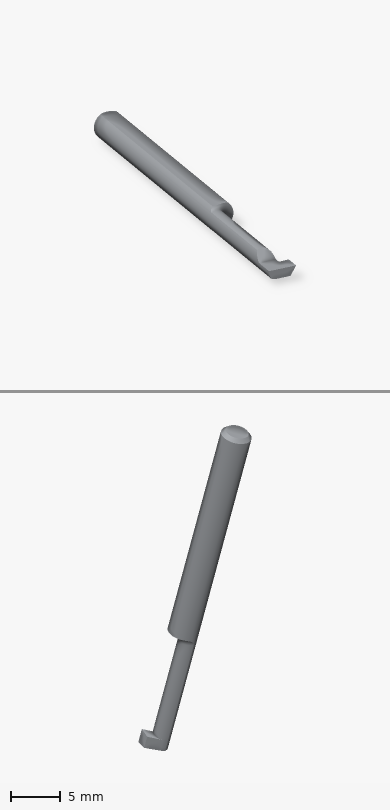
import cadquery as cq
import math

overall_length = 38.1
shank_diameter = 3.175
shank_radius = shank_diameter / 2
overall_height = 2.92
flat_height = overall_height - shank_radius
rear_chamfer = 0.4

shoulder_x = 24.37
neck_radius = 1.08
neck_axis_y = -0.76
neck_fillet = 0.69

cutting_face_x = 35.85
ramp_angle = 45.0
tooth_width = 1.58
tooth_tip_y = 1.45

side_relief = 1.5
under_relief = 5.0
tip_relief = 28.0

clearance = 2 * shank_diameter


def make_shank():
    """Full-length round bar with a chamfered rear end and a clamping flat."""
    bar = cq.Workplane("YZ").circle(shank_radius).extrude(overall_length)
    bar = bar.faces("<X").chamfer(rear_chamfer)
    above_flat = (
        cq.Workplane("YZ")
        .center(0, flat_height + clearance / 2)
        .rect(clearance, clearance)
        .extrude(overall_length)
    )
    return bar.cut(above_flat)


def make_neck():
    """Round neck flared by a fillet into an oversized shoulder block."""
    block = cq.Workplane("YZ").rect(2 * clearance, 2 * clearance).extrude(shoulder_x)
    neck = (
        cq.Workplane("YZ", origin=(shoulder_x, neck_axis_y, 0))
        .circle(neck_radius)
        .extrude(overall_length - shoulder_x)
    )
    return block.union(neck).edges("%CIRCLE and (not >X)").fillet(neck_fillet)


def make_relief_cut(corner_x, heading, relief):
    """Block outside a tooth face that passes through the tip at corner_x.

    The face looks along the heading, an angle from +X, and falls back below the cutting face.
    """
    return (
        cq.Workplane("YZ")
        .rect(2 * clearance, 2 * clearance)
        .extrude(clearance)
        .rotate((0, 0, 0), (0, 1, 0), relief)
        .rotate((0, 0, 0), (0, 0, 1), heading)
        .translate((corner_x, tooth_tip_y, 0))
    )


def make_tooth():
    """Block from the neck axis out to the tooth tip, relieved at its back and tip."""
    back_x = overall_length - tooth_width
    block = cq.Workplane("XY").box(
        tooth_width, tooth_tip_y - neck_axis_y, neck_radius, centered=False
    ).translate((back_x, neck_axis_y, -neck_radius))
    back_cut = make_relief_cut(back_x, 180 + side_relief, under_relief)
    tip_cut = make_relief_cut(overall_length, 90, tip_relief)
    return block.cut(back_cut).cut(tip_cut)


def make_ramp_cut():
    """Everything above the cutting face and in front of the ramp."""
    ramp_run = shank_diameter / math.tan(math.radians(ramp_angle))
    return (
        cq.Workplane("XZ")
        .moveTo(cutting_face_x, 0)
        .lineTo(cutting_face_x - ramp_run, shank_diameter)
        .lineTo(overall_length + clearance, shank_diameter)
        .lineTo(overall_length + clearance, 0)
        .close()
        .extrude(clearance, both=True)
    )


end_cut = make_relief_cut(overall_length, -side_relief, under_relief)
profile = make_neck().union(make_tooth()).cut(make_ramp_cut()).cut(end_cut)
result = make_shank().intersect(profile)